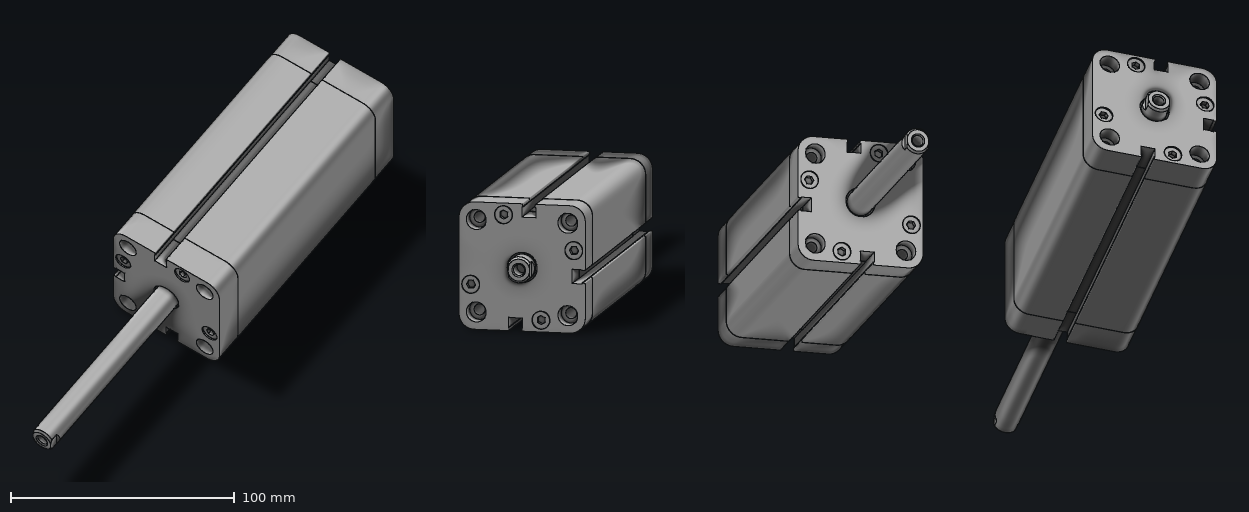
import cadquery as cq
import math


overall_length = 238.5

body_side = 58.2
body_length = 135.2
cap_length = 14.3
corner_radius = 7.2
cap_inset = 0.12

rod_diameter = 12.0
rod_front_length = 96.5
rod_rear_length = overall_length - body_length - rod_front_length
rod_chamfer_length = 1.0
rod_chamfer_depth = 1.0
flat_width = 9.8
flat_length = 4.5
thread_diameter = 5.0
thread_mouth_diameter = 6.2
thread_depth = 12.0
drill_tip_angle = 120.0
rod_recess_diameter = 13.5
rod_recess_depth = 1.2

slot_offset = 3.0
slot_mouth_width = 5.7
slot_lip = 1.7
slot_edge_radius = 0.5
slot_width = 6.5
barrel_slot_depth = 6.0
cap_slot_depth = 6.2
slot_angles = (0, 90, 180)

mount_offset = 21.0
mount_hole_diameter = 5.0
mount_bore_diameter = 9.0
mount_bore_depth = 6.7

screw_offset = 8.5
screw_edge_offset = 23.5
screw_angles = (0, 90, 180, 270)
screw_recess_diameter = 8.0
screw_recess_depth = 0.7
socket_sides = 6
socket_width = 3.5
socket_depth = 2.5


def cylinder(diameter, y_start, length, x=0, z=0):
    """Cylinder parallel to Y, running from y_start towards +Y."""
    axis = cq.Vector(0, 1, 0)
    return cq.Workplane(cq.Solid.makeCylinder(diameter / 2, length, cq.Vector(x, y_start, z), axis))


def about_rod(feature, angle):
    """The feature turned about the rod axis, from the top face towards -X."""
    return feature.rotate((0, 0, 0), (0, 1, 0), -angle)


def from_both_ends(feature):
    """The feature at the front face together with its mirror image at the rear face."""
    return feature.union(feature.mirror("XZ", (0, body_length / 2, 0)))


def make_slot(inset, depth):
    """Slot cutter below the top face, which is drawn in by the inset."""
    top = body_side / 2
    mouth_top = top - inset
    lip_bottom = top - slot_lip
    bottom = top - depth
    half_mouth = slot_mouth_width / 2
    half_flare = half_mouth + slot_edge_radius
    half_width = slot_width / 2
    flare_bottom = mouth_top - slot_edge_radius
    mid = slot_edge_radius * (1 - math.sqrt(0.5))
    return (
        cq.Workplane("XZ")
        .moveTo(-half_width, bottom)
        .lineTo(half_width, bottom)
        .lineTo(half_width, lip_bottom)
        .lineTo(half_mouth, lip_bottom)
        .lineTo(half_mouth, flare_bottom)
        .threePointArc((half_mouth + mid, mouth_top - mid), (half_flare, mouth_top))
        .lineTo(-half_flare, mouth_top)
        .threePointArc((-half_mouth - mid, mouth_top - mid), (-half_mouth, flare_bottom))
        .lineTo(-half_mouth, lip_bottom)
        .lineTo(-half_width, lip_bottom)
        .close()
        .extrude(-body_length)
        .translate((-slot_offset, 0, 0))
    )


def make_section(inset, slot_depth, y_start, length):
    """Slotted length of the body, with its whole profile drawn in by the inset."""
    side = body_side - 2 * inset
    section = (
        cq.Workplane("XZ", origin=(0, y_start, 0))
        .rect(side, side)
        .extrude(-length)
        .edges("|Y")
        .fillet(corner_radius - inset)
    )
    for angle in slot_angles:
        section = section.cut(about_rod(make_slot(inset, slot_depth), angle))
    return section


def make_body():
    """Barrel between two end caps that sit slightly inside its profile."""
    barrel = make_section(0, barrel_slot_depth, cap_length, body_length - 2 * cap_length)
    return barrel.union(from_both_ends(make_section(cap_inset, cap_slot_depth, 0, cap_length)))


def make_mount_hole(x, z):
    bore = cylinder(mount_bore_diameter, 0, mount_bore_depth, x, z)
    return from_both_ends(bore).union(cylinder(mount_hole_diameter, 0, body_length, x, z))


def make_screw_recess():
    """Recess over the screw head beside the top slot, with the head's hexagon socket."""
    recess = cylinder(screw_recess_diameter, 0, screw_recess_depth, screw_offset, screw_edge_offset)
    socket_reach = screw_recess_depth + socket_depth
    socket = (
        cq.Workplane("XZ", origin=(screw_offset, 0, screw_edge_offset))
        .polygon(socket_sides, socket_width, circumscribed=True)
        .extrude(-socket_reach)
    )
    return from_both_ends(recess.union(socket))


def make_rod():
    """Rod with chamfered ends, revolved about Y."""
    radius = rod_diameter / 2
    front = -rod_front_length
    rear = body_length + rod_rear_length
    return (
        cq.Workplane("XY")
        .moveTo(0, front)
        .lineTo(radius - rod_chamfer_depth, front)
        .lineTo(radius, front + rod_chamfer_length)
        .lineTo(radius, rear - rod_chamfer_length)
        .lineTo(radius - rod_chamfer_depth, rear)
        .lineTo(0, rear)
        .close()
        .revolve(360, (0, 0, 0), (0, 1, 0))
    )


def make_flat():
    """Wrench flat cutter on the +X side of the front rod end, with a 45 degree run-out."""
    start = -rod_front_length
    half_flat = flat_width / 2
    run_out = (rod_diameter - flat_width) / 2
    return (
        cq.Workplane("XY")
        .moveTo(half_flat, start)
        .lineTo(half_flat, start + flat_length)
        .lineTo(half_flat + run_out, start + flat_length + run_out)
        .lineTo(half_flat + run_out, start)
        .close()
        .extrude(rod_diameter / 2, both=True)
    )


def make_thread_hole():
    """Countersunk blind hole with a drill tip in the front rod end."""
    start = -rod_front_length
    radius = thread_diameter / 2
    mouth_radius = thread_mouth_diameter / 2
    tip = radius / math.tan(math.radians(drill_tip_angle / 2))
    return (
        cq.Workplane("XY")
        .moveTo(0, start)
        .lineTo(mouth_radius, start)
        .lineTo(radius, start + mouth_radius - radius)
        .lineTo(radius, start + thread_depth)
        .lineTo(0, start + thread_depth + tip)
        .close()
        .revolve(360, (0, 0, 0), (0, 1, 0))
    )


body = make_body()

for x in (-mount_offset, mount_offset):
    for z in (-mount_offset, mount_offset):
        body = body.cut(make_mount_hole(x, z))

for angle in screw_angles:
    body = body.cut(about_rod(make_screw_recess(), angle))

body = body.cut(from_both_ends(cylinder(rod_recess_diameter, 0, rod_recess_depth)))

rod_end_cuts = make_flat().union(about_rod(make_flat(), 180)).union(make_thread_hole())
rod_middle = overall_length / 2 - rod_front_length
rod = make_rod().cut(rod_end_cuts).cut(rod_end_cuts.mirror("XZ", (0, rod_middle, 0)))

result = body.union(rod)